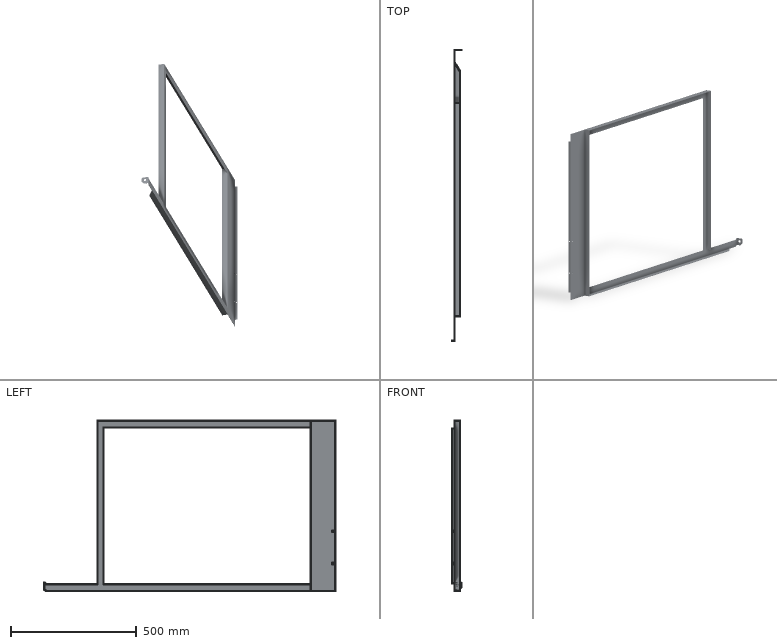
import cadquery as cq

FRAME_LENGTH = 1162.0
FRAME_HEIGHT = 680.0
OVERALL_DEPTH = 39.5

THICKNESS = 1.0

PANEL_WIDTH = 99.0
RAIL_WIDTH = 28.0
POST_WIDTH = 25.0
POST_OUTER_Y = 950.0
FLANGE_DEPTH = 23.0

TAPER_START_Y = 1076.0
TAPER_END_Y = 1112.0

LIP_DEPTH = 10.5
LIP_BOTTOM_Z = 31.0
LIP_TOP_Z = FRAME_HEIGHT - LIP_BOTTOM_Z

HOLE_HEIGHTS = (110.0, 239.0)
HOLE_DIAMETER = 5.0
LIP_HOLE_X = -5.5
PANEL_HOLE_Y = 10.0

HOOK_DEPTH = OVERALL_DEPTH - LIP_DEPTH
HOOK_BOTTOM_Z = 6.0
HOOK_TOP_Z = 34.5
ARM_CORNER_LENGTH = 8.0
HOOK_LOWER_CHAMFER = 11.0
HOOK_UPPER_CHAMFER = 4.0
HOOK_HOLE_DIAMETER = 10.0
HOOK_HOLE_X = 14.0
HOOK_HOLE_Z = 22.0


def box(x_range, y_range, z_range):
    """Axis-aligned block between the given limits."""
    lows, highs = zip(x_range, y_range, z_range)
    sizes = [high - low for low, high in zip(lows, highs)]
    return cq.Workplane("XY").box(*sizes, centered=False).translate(lows)


def face_sheet():
    """Flat sheet: panel, two rails, post, and the arm rising to the hook."""
    outline = (
        cq.Workplane("YZ")
        .moveTo(0, 0)
        .lineTo(FRAME_LENGTH - ARM_CORNER_LENGTH, 0)
        .lineTo(FRAME_LENGTH, HOOK_BOTTOM_Z)
        .lineTo(FRAME_LENGTH, HOOK_TOP_Z)
        .lineTo(FRAME_LENGTH - ARM_CORNER_LENGTH, RAIL_WIDTH)
        .lineTo(POST_OUTER_Y, RAIL_WIDTH)
        .lineTo(POST_OUTER_Y, FRAME_HEIGHT)
        .lineTo(0, FRAME_HEIGHT)
        .close()
        .extrude(THICKNESS)
    )
    window = box(
        (0, THICKNESS),
        (PANEL_WIDTH, POST_OUTER_Y - POST_WIDTH),
        (RAIL_WIDTH, FRAME_HEIGHT - RAIL_WIDTH),
    )
    return outline.cut(window)


def bottom_flange():
    """Flange under the bottom rail, tapering off along the arm."""
    return (
        cq.Workplane("XY")
        .moveTo(0, PANEL_WIDTH - THICKNESS)
        .lineTo(FLANGE_DEPTH, PANEL_WIDTH - THICKNESS)
        .lineTo(FLANGE_DEPTH, TAPER_START_Y)
        .lineTo(0, TAPER_END_Y)
        .close()
        .extrude(THICKNESS)
    )


def top_flange():
    """Flange over the top rail."""
    return box(
        (0, FLANGE_DEPTH),
        (PANEL_WIDTH - THICKNESS, POST_OUTER_Y),
        (FRAME_HEIGHT - THICKNESS, FRAME_HEIGHT),
    )


def post_flange():
    """Flange along the outer edge of the post."""
    return box(
        (0, FLANGE_DEPTH),
        (POST_OUTER_Y - THICKNESS, POST_OUTER_Y),
        (RAIL_WIDTH, FRAME_HEIGHT),
    )


def panel_flange():
    """Flange along the window edge of the panel, from the bottom flange to the top flange."""
    return box(
        (0, FLANGE_DEPTH),
        (PANEL_WIDTH - THICKNESS, PANEL_WIDTH),
        (0, FRAME_HEIGHT),
    )


def hook_tab():
    """Tab at the end of the arm with both outer corners cut off."""
    return (
        cq.Workplane("XZ", origin=(0, FRAME_LENGTH, 0))
        .moveTo(0, HOOK_BOTTOM_Z)
        .lineTo(HOOK_DEPTH - HOOK_LOWER_CHAMFER, HOOK_BOTTOM_Z)
        .lineTo(HOOK_DEPTH, HOOK_BOTTOM_Z + HOOK_LOWER_CHAMFER)
        .lineTo(HOOK_DEPTH, HOOK_TOP_Z - HOOK_UPPER_CHAMFER)
        .lineTo(HOOK_DEPTH - HOOK_UPPER_CHAMFER, HOOK_TOP_Z)
        .lineTo(0, HOOK_TOP_Z)
        .close()
        .extrude(THICKNESS)
    )


def panel_lip():
    """Lip along the free edge of the panel, standing toward -X."""
    return box(
        (-LIP_DEPTH, THICKNESS),
        (0, THICKNESS),
        (LIP_BOTTOM_Z, LIP_TOP_Z),
    )


def round_holes(plane, points, diameter):
    """Cutters for round holes through one sheet thickness."""
    return plane.pushPoints(points).circle(diameter / 2).extrude(THICKNESS)


def lip_holes():
    """Round holes through the lip."""
    points = [(LIP_HOLE_X, height) for height in HOLE_HEIGHTS]
    plane = cq.Workplane("XZ", origin=(0, THICKNESS, 0))
    return round_holes(plane, points, HOLE_DIAMETER)


def panel_holes():
    """Round holes through the panel beside the lip."""
    points = [(PANEL_HOLE_Y, height) for height in HOLE_HEIGHTS]
    return round_holes(cq.Workplane("YZ"), points, HOLE_DIAMETER)


def hook_hole():
    """Round hole through the hook tab."""
    plane = cq.Workplane("XZ", origin=(0, FRAME_LENGTH, 0))
    return round_holes(plane, [(HOOK_HOLE_X, HOOK_HOLE_Z)], HOOK_HOLE_DIAMETER)


result = face_sheet()
for flange in (bottom_flange, top_flange, post_flange, panel_flange, hook_tab, panel_lip):
    result = result.union(flange())
for holes in (lip_holes, panel_holes, hook_hole):
    result = result.cut(holes())